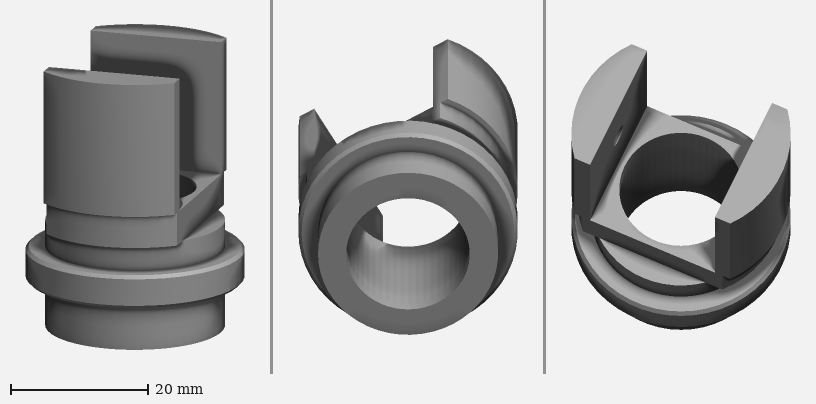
import cadquery as cq

total_height = 41.0
outer_diameter = 32.0

neck_diameter = 26.25
neck_height = 16.0
bore_diameter = 18.0

collar_bottom = 7.0
collar_height = 5.0
collar_chamfer = 0.5

fork_width = 20.0
arm_gap = 20.0
base_diameter = 30.0
base_thickness = 5.0
base_top = neck_height + base_thickness
arm_height = total_height - base_top

cross_hole_diameter = 3.3
cross_hole_height = base_top + arm_height / 2


def make_disc(diameter, bottom, height):
    """Solid cylinder on the Z axis."""
    return cq.Workplane("XY").workplane(offset=bottom).circle(diameter / 2).extrude(height)


def make_block(x_size, y_size, bottom, height):
    """Rectangular block centred on the Z axis."""
    return cq.Workplane("XY").workplane(offset=bottom).rect(x_size, y_size).extrude(height)


def make_collar():
    body = make_disc(outer_diameter, collar_bottom, collar_height)
    body = body.edges().chamfer(collar_chamfer)
    return body.cut(make_disc(neck_diameter, collar_bottom, collar_height))


def make_fork():
    base = make_disc(base_diameter, neck_height, base_thickness)
    arms = make_disc(outer_diameter, base_top, arm_height)
    arms = arms.cut(make_block(outer_diameter, arm_gap, base_top, arm_height))

    side_limits = make_block(fork_width, outer_diameter, neck_height, base_thickness + arm_height)
    fork = base.union(arms).intersect(side_limits)

    fork = fork.union(make_disc(neck_diameter, 0, neck_height))
    fork = fork.cut(make_disc(bore_diameter, 0, base_top))

    cross_hole = (
        cq.Workplane("XZ")
        .center(0, cross_hole_height)
        .circle(cross_hole_diameter / 2)
        .extrude(-outer_diameter / 2)
    )
    return fork.cut(cross_hole)


fork = make_fork()
collar = make_collar()

result = cq.Compound.makeCompound([fork.val(), collar.val()])